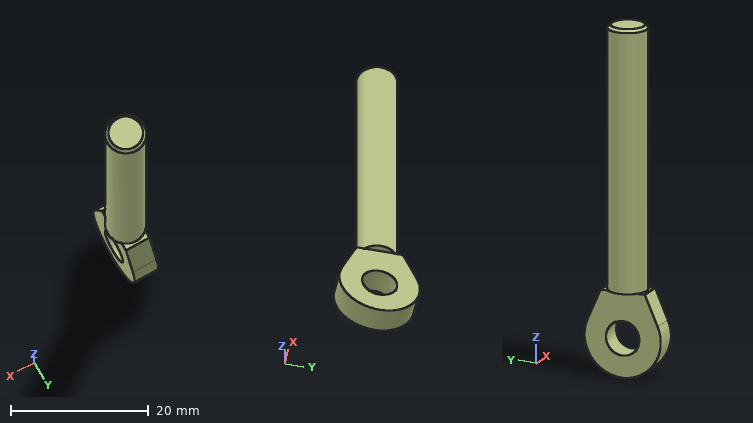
import cadquery as cq
import math

total_length = 53.0
rod_diameter = 6.0
rod_length = 40.0
rod_chamfer = 0.5
eye_diameter = 11.95
eye_thickness = 3.95
hole_diameter = 5.2
shoulder_width = 7.0

eye_radius = eye_diameter / 2
shoulder_height = total_length - eye_radius - rod_length
half_shoulder = shoulder_width / 2

corner_distance = math.hypot(half_shoulder, shoulder_height)
corner_angle = math.atan2(shoulder_height, half_shoulder)
tangent_angle = corner_angle - math.acos(eye_radius / corner_distance)
tangent_y = eye_radius * math.cos(tangent_angle)
tangent_z = eye_radius * math.sin(tangent_angle)


def make_eye():
    """Flat eye with a round bottom, tangent flanks and a cross hole along X."""
    return (
        cq.Workplane("YZ")
        .moveTo(-half_shoulder, shoulder_height)
        .lineTo(-tangent_y, tangent_z)
        .threePointArc((0, -eye_radius), (tangent_y, tangent_z))
        .lineTo(half_shoulder, shoulder_height)
        .close()
        .extrude(eye_thickness / 2, both=True)
        .faces(">X")
        .workplane(origin=(0, 0, 0))
        .hole(hole_diameter)
    )


def make_rod():
    """Round rod standing on the eye shoulder, chamfered at its free end."""
    return (
        cq.Workplane("XY", origin=(0, 0, shoulder_height))
        .circle(rod_diameter / 2)
        .extrude(rod_length)
        .faces(">Z")
        .chamfer(rod_chamfer)
    )


result = make_eye().union(make_rod())